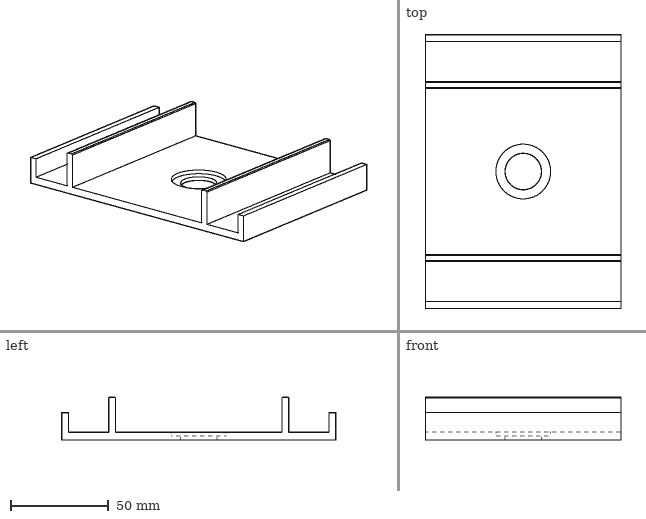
import cadquery as cq

length = 100.0
width = 140.0
base_thickness = 4.0

wall_thickness = 3.5
edge_wall_top = 14.0
inner_wall_top = 22.0
inner_wall_inset = 24.0
inner_wall_chamfer = 0.5

hole_diameter = 18.5
counterbore_diameter = 28.0
counterbore_depth = 2.0


def make_wall(top, outer_face_y):
    """Wall from the underside to height top, its outer face at outer_face_y on the +Y side."""
    return (
        cq.Workplane("XY")
        .box(length, wall_thickness, top, centered=(True, True, False))
        .translate((0, outer_face_y - wall_thickness / 2, 0))
    )


def make_base():
    """Flat plate, centred on the origin with its underside at Z = 0."""
    return cq.Workplane("XY").box(length, width, base_thickness, centered=(True, True, False))


def make_walls():
    """Low wall along the +Y edge and a taller chamfered wall inside it."""
    edge_wall = make_wall(edge_wall_top, width / 2)
    inner_wall = make_wall(inner_wall_top, width / 2 - inner_wall_inset)
    inner_wall = inner_wall.faces(">Z").edges("|X").chamfer(inner_wall_chamfer)
    return edge_wall.add(inner_wall).combine()


def cut_counterbored_hole(body):
    """Through hole with its counterbore sunk from the top of the base."""
    return (
        body.copyWorkplane(cq.Workplane("XY", origin=(0, 0, base_thickness)))
        .cboreHole(hole_diameter, counterbore_diameter, counterbore_depth)
    )


walls = make_walls()
tray = make_base().union(walls).union(walls.mirror("XZ"))
result = cut_counterbored_hole(tray)